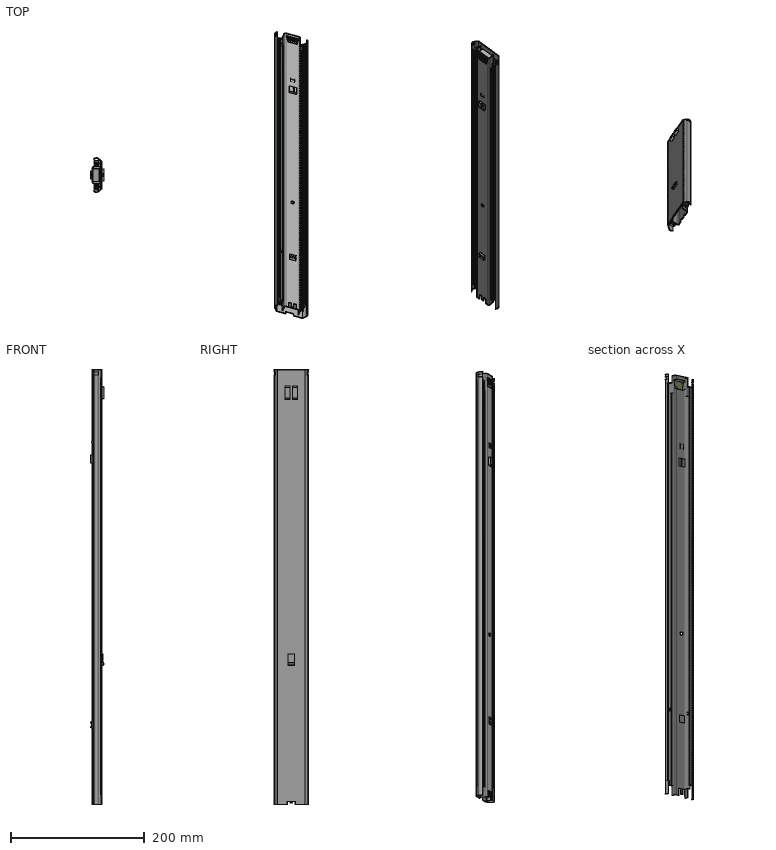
import cadquery as cq
import math


LENGTH = 650.0
HALF_WIDTH = 26.0
OUTER_BACK = 6.8
INNER_FRONT = -7.5
SHEET = 1.0

RACE_RADIUS = 5.0
RACE_X = -1.0
RACE_Y = HALF_WIDTH - RACE_RADIUS
LIP_ANGLE = 54.0
SLOPE_ANGLE = 41.0
FLANGE_NOTCH_BOTTOM = 642.0
FLANGE_NOTCH_TOP = 646.0
FLANGE_NOTCH_DEPTH = 0.5
OUTER_END_NOTCH_HALF_WIDTH = 6.2
OUTER_END_NOTCH_HEIGHT = 4.5

MIDDLE_BOTTOM = 15.0
MIDDLE_TOP = 637.5
MIDDLE_FRONT = -4.9
MIDDLE_BACK = 4.9
MIDDLE_HALF_WIDTH = 21.0
MIDDLE_FLANGE_NEAR = 16.0
MIDDLE_FLANGE_FAR = 18.0
SLOT_Z = 130.0
SLOT_HEIGHT = 4.0
SLOT_DEPTH = 6.5

INNER_HALF_WIDTH = 13.0
INNER_BEND = 2.5
INNER_BACK = 2.5
WEB_HOLE_DIAMETER = 5.0
WEB_HOLE_Z = 251.5
END_SLOT_NEAR = 2.0
END_SLOT_FAR = 6.0
END_SLOT_HEIGHT = 11.0
END_TONGUE_GAP = 2.5

CAGE_FRONT = -4.9
CAGE_BACK = 2.0
CAGE_STEP = 0.5
OUTER_CAGE_NEAR = 19.5
OUTER_CAGE_FAR = 22.0
OUTER_CAGE_BOTTOM = 21.5
INNER_CAGE_NEAR = 13.5
INNER_CAGE_FAR = 15.5
INNER_CAGE_TOP = 623.0

LATCH_TOP = 644.0
LATCH_BOTTOM = 631.0
LATCH_TOP_HALF_WIDTH = 10.0
LATCH_BOTTOM_HALF_WIDTH = 7.0
LATCH_GROOVE_BOTTOMS = (635.0, 639.5)
LATCH_GROOVE_HEIGHT = 2.0
LATCH_BACK = 3.0

TAB_REACH = 10.5
HOOK_STEP = 8.8
BACK_TAB_BOTTOM = 605.0
BACK_TAB_TOP = 625.0
BACK_TAB_CHAMFER = 2.0
BACK_TAB_HALF_WIDTH = 9.0
BACK_TAB_HALF_GAP = 1.6
HOOK_HALF_WIDTH = 4.9
BACK_HOOK_BOTTOM = 208.0
BACK_HOOK_TOP = 225.0
FRONT_TAB_BOTTOM = 510.0
FRONT_TAB_TOP = 522.5
FRONT_TAB_HALF_WIDTH = 6.0
FRONT_TAB_SLOT = 2.0
FRONT_HOOK_BOTTOM = 114.0
FRONT_HOOK_TOP = 125.0
BARB_REACH = 8.5
BARB_BOTTOM = 537.5
BARB_TOP = 545.5
BARB_HALF_WIDTH = 3.0


def box(x0, x1, y0, y1, z0, z1):
    """Block between two opposite corners."""
    return cq.Workplane("XY").box(x1 - x0, y1 - y0, z1 - z0, centered=False).translate((x0, y0, z0))


def side_prism(points, y0, y1):
    """Outline of (x, z) points filled between two Y positions."""
    return cq.Workplane("XZ", origin=(0, y1, 0)).polyline(points).close().extrude(y1 - y0)


def race_point(radius, angle):
    """Point on the race arc; the angle runs from +Y toward +X, in degrees."""
    a = math.radians(angle)
    return RACE_X + radius * math.sin(a), RACE_Y + radius * math.cos(a)


def slope_foot(radius, x):
    """Where the line tangent to the race arc at the slope angle meets the given X."""
    px, py = race_point(radius, SLOPE_ANGLE)
    return x, py - (x - px) * math.tan(math.radians(SLOPE_ANGLE))


def make_outer_rail():
    inner_radius = RACE_RADIUS - SHEET
    web_inside = OUTER_BACK - SHEET
    half = (
        cq.Workplane("XY")
        .moveTo(OUTER_BACK, 0)
        .lineTo(*slope_foot(RACE_RADIUS, OUTER_BACK))
        .lineTo(*race_point(RACE_RADIUS, SLOPE_ANGLE))
        .threePointArc(race_point(RACE_RADIUS, 0), race_point(RACE_RADIUS, -LIP_ANGLE))
        .lineTo(*race_point(inner_radius, -LIP_ANGLE))
        .threePointArc(race_point(inner_radius, 0), race_point(inner_radius, SLOPE_ANGLE))
        .lineTo(*slope_foot(inner_radius, web_inside))
        .lineTo(web_inside, 0)
        .close()
        .extrude(LENGTH)
    )
    notch = (
        cq.Workplane("XY", origin=(RACE_X, RACE_Y, FLANGE_NOTCH_BOTTOM))
        .circle(RACE_RADIUS + SHEET)
        .circle(RACE_RADIUS - FLANGE_NOTCH_DEPTH)
        .extrude(FLANGE_NOTCH_TOP - FLANGE_NOTCH_BOTTOM)
    )
    arch_end = race_point(RACE_RADIUS, SLOPE_ANGLE)[0]
    arch_zone = box(INNER_FRONT, arch_end, 0, HALF_WIDTH, FLANGE_NOTCH_BOTTOM, FLANGE_NOTCH_TOP)
    half = half.cut(notch.intersect(arch_zone))
    rail = half.union(half.mirror("XZ"))
    end_notch = box(web_inside, OUTER_BACK, -OUTER_END_NOTCH_HALF_WIDTH, OUTER_END_NOTCH_HALF_WIDTH,
                    0, OUTER_END_NOTCH_HEIGHT)
    rail = rail.cut(end_notch)
    return rail.union(make_back_tabs()).union(make_back_hook())


def make_back_tabs():
    """Pair of tapered tabs on the back of the outer web."""
    outline = [
        (OUTER_BACK, BACK_TAB_BOTTOM),
        (TAB_REACH, BACK_TAB_BOTTOM + BACK_TAB_CHAMFER),
        (TAB_REACH, BACK_TAB_TOP - BACK_TAB_CHAMFER),
        (OUTER_BACK, BACK_TAB_TOP),
    ]
    lower = side_prism(outline, -BACK_TAB_HALF_WIDTH, -BACK_TAB_HALF_GAP)
    return lower.union(side_prism(outline, BACK_TAB_HALF_GAP, BACK_TAB_HALF_WIDTH))


def make_back_hook():
    """Hook on the back of the outer web, its tip near the lower end."""
    tip_rise = 2.0
    tip_height = 2.5
    tip_bottom = BACK_HOOK_BOTTOM + tip_rise
    outline = [
        (OUTER_BACK, BACK_HOOK_BOTTOM),
        (HOOK_STEP, BACK_HOOK_BOTTOM),
        (TAB_REACH, tip_bottom),
        (HOOK_STEP, tip_bottom + tip_height),
        (HOOK_STEP, BACK_HOOK_TOP),
        (OUTER_BACK, BACK_HOOK_TOP),
    ]
    return side_prism(outline, -HOOK_HALF_WIDTH, HOOK_HALF_WIDTH)


def make_middle_rail():
    web_front = MIDDLE_BACK - SHEET
    rail = box(web_front, MIDDLE_BACK, -MIDDLE_HALF_WIDTH, MIDDLE_HALF_WIDTH, MIDDLE_BOTTOM, MIDDLE_TOP)
    flange = box(MIDDLE_FRONT, MIDDLE_BACK, MIDDLE_FLANGE_NEAR, MIDDLE_FLANGE_FAR,
                 MIDDLE_BOTTOM, MIDDLE_TOP)
    slot = box(MIDDLE_FRONT, MIDDLE_FRONT + SLOT_DEPTH, MIDDLE_FLANGE_NEAR, MIDDLE_FLANGE_FAR,
               SLOT_Z, SLOT_Z + SLOT_HEIGHT)
    flange = flange.cut(slot)
    return rail.union(flange).union(flange.mirror("XZ"))


def latch_block(x1):
    """Trapezoid block from the front of the inner web to the given X."""
    return (
        cq.Workplane("YZ", origin=(INNER_FRONT, 0, 0))
        .polyline([
            (-LATCH_TOP_HALF_WIDTH, LATCH_TOP),
            (LATCH_TOP_HALF_WIDTH, LATCH_TOP),
            (LATCH_BOTTOM_HALF_WIDTH, LATCH_BOTTOM),
            (-LATCH_BOTTOM_HALF_WIDTH, LATCH_BOTTOM),
        ])
        .close()
        .extrude(x1 - INNER_FRONT)
    )


def make_inner_rail():
    inside = INNER_HALF_WIDTH - SHEET
    rail = box(INNER_FRONT, INNER_BACK, -INNER_HALF_WIDTH, INNER_HALF_WIDTH, 0, LENGTH)
    rail = rail.edges("|Z and <X").fillet(INNER_BEND)
    cavity = box(INNER_FRONT + SHEET, INNER_BACK, -inside, inside, 0, LENGTH)
    rail = rail.cut(cavity.edges("|Z and <X").fillet(INNER_BEND - SHEET))
    rail = rail.cut(latch_block(INNER_FRONT + SHEET))
    hole = (
        cq.Workplane("YZ", origin=(INNER_FRONT, 0, WEB_HOLE_Z))
        .circle(WEB_HOLE_DIAMETER / 2)
        .extrude(SHEET)
    )
    rail = rail.cut(hole)
    web_inside = INNER_FRONT + SHEET
    for y0 in (END_SLOT_NEAR, -END_SLOT_FAR):
        y1 = y0 + END_SLOT_FAR - END_SLOT_NEAR
        rail = rail.cut(box(INNER_FRONT, web_inside, y0, y1, 0, END_SLOT_HEIGHT))
    rail = rail.cut(box(INNER_FRONT, web_inside, -END_SLOT_NEAR, END_SLOT_NEAR, 0, END_TONGUE_GAP))
    return rail.union(make_front_tab()).union(make_front_hook()).union(make_barb())


def make_front_tab():
    """Square tab on the inner web, split by an upright slot."""
    tab = box(-TAB_REACH, INNER_FRONT, -FRONT_TAB_HALF_WIDTH, FRONT_TAB_HALF_WIDTH,
              FRONT_TAB_BOTTOM, FRONT_TAB_TOP)
    slot = box(-TAB_REACH, INNER_FRONT, -FRONT_TAB_SLOT, 0,
               FRONT_TAB_BOTTOM + FRONT_TAB_SLOT, FRONT_TAB_TOP)
    return tab.cut(slot)


def make_front_hook():
    """Two-pronged hook on the inner web."""
    prong_slope = 2.0
    prong_height = 2.0
    upper = FRONT_HOOK_TOP - prong_slope
    lower = FRONT_HOOK_BOTTOM + prong_slope
    outline = [
        (INNER_FRONT, FRONT_HOOK_TOP),
        (-TAB_REACH, upper),
        (-HOOK_STEP, upper - prong_height),
        (-HOOK_STEP, lower + prong_height),
        (-TAB_REACH, lower),
        (INNER_FRONT, FRONT_HOOK_BOTTOM),
    ]
    return side_prism(outline, -HOOK_HALF_WIDTH, HOOK_HALF_WIDTH)


def make_barb():
    """Small ridge on the inner web."""
    middle = (BARB_BOTTOM + BARB_TOP) / 2
    outline = [(INNER_FRONT, BARB_BOTTOM), (-BARB_REACH, middle), (INNER_FRONT, BARB_TOP)]
    return side_prism(outline, -BARB_HALF_WIDTH, BARB_HALF_WIDTH)


def make_latch():
    latch = latch_block(LATCH_BACK)
    groove_back = INNER_FRONT + SHEET / 2
    for z in LATCH_GROOVE_BOTTOMS:
        groove = box(INNER_FRONT, groove_back, -LATCH_TOP_HALF_WIDTH, LATCH_TOP_HALF_WIDTH,
                     z, z + LATCH_GROOVE_HEIGHT)
        latch = latch.cut(groove)
    return latch


def make_cage(near, far, bottom, top):
    """Ball cage strip on the +Y side, with a step along the middle of its front face."""
    strip = box(CAGE_FRONT, CAGE_BACK, near, far, bottom, top)
    return strip.cut(box(CAGE_FRONT, CAGE_FRONT + CAGE_STEP, (near + far) / 2, far, bottom, top))


outer_rail = make_outer_rail()
middle_rail = make_middle_rail()
inner_rail = make_inner_rail()
latch = make_latch()

cages = []
for near, far, bottom, top in (
    (OUTER_CAGE_NEAR, OUTER_CAGE_FAR, OUTER_CAGE_BOTTOM, MIDDLE_TOP),
    (INNER_CAGE_NEAR, INNER_CAGE_FAR, MIDDLE_BOTTOM, INNER_CAGE_TOP),
):
    cage = make_cage(near, far, bottom, top)
    cages.append(cage.val())
    cages.append(cage.mirror("XZ").val())

result = cq.Compound.makeCompound(
    [outer_rail.val(), middle_rail.val(), inner_rail.val(), latch.val(), *cages]
)